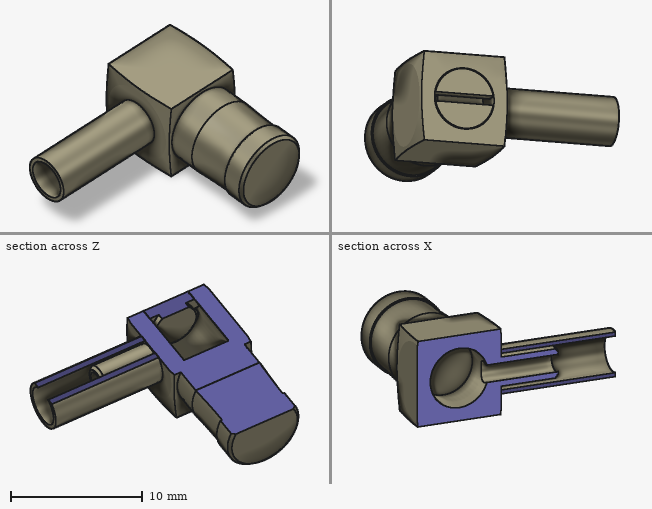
import cadquery as cq
import math


block_size = 7.0
face_radius = 3.18
cone_angle = 8.7

plug_radius = 3.17
neck_length = 2.23
plug_end = 11.2
plug_chamfer = 0.25
waist_start = 5.82
waist_end = 9.37
waist_mid_depth = 0.09
waist_end_depth = 0.124

cable_length = 9.5
ferrule_radius = 1.9
ferrule_bore_radius = 1.55
sleeve_radius = 1.3
sleeve_bore_radius = 0.84
sleeve_chamfer = 0.25
sleeve_length = cable_length / 2

cavity_radius = 2.4
end_wall = 0.99
cap_thickness = 0.99
cap_rim_chamfer = 0.05
boss_radius = 1.83
boss_length = 0.5
slot_width = 0.73

half_block = block_size / 2
neck_end = half_block + neck_length
cable_end = half_block + cable_length


def rod_x(start, end, radius):
    """Cylinder on the plug axis between two X positions."""
    return cq.Workplane("YZ").workplane(offset=start).circle(radius).extrude(end - start)


def rod_y(start, end, radius):
    """Cylinder on the cable axis, from one distance to another towards -Y."""
    return cq.Workplane("XZ").workplane(offset=start).circle(radius).extrude(end - start)


def make_turned_block():
    """Cube whose -Y and +Y faces are turned to a flat circle with a shallow cone around it."""
    cube = cq.Workplane("XY").box(block_size, block_size, block_size)
    outer_radius = block_size
    cone_drop = (outer_radius - face_radius) * math.tan(math.radians(cone_angle))
    envelope = (
        cq.Workplane("XY")
        .moveTo(0, -half_block)
        .lineTo(face_radius, -half_block)
        .lineTo(outer_radius, cone_drop - half_block)
        .lineTo(outer_radius, half_block - cone_drop)
        .lineTo(face_radius, half_block)
        .lineTo(0, half_block)
        .close()
        .revolve(360, (0, 0, 0), (0, 1, 0))
    )
    return cube.intersect(envelope)


def make_housing():
    """Block with its neck, cable sleeve, cavity and cable bore."""
    neck = rod_x(half_block, neck_end, plug_radius)
    sleeve = rod_y(half_block, half_block + sleeve_length, sleeve_radius)
    sleeve = sleeve.faces("<Y").edges().chamfer(sleeve_chamfer)
    housing = make_turned_block().union(neck).union(sleeve)
    cavity = rod_x(-half_block, half_block - end_wall, cavity_radius)
    cable_bore = rod_y(0, half_block + sleeve_length, sleeve_bore_radius)
    return housing.cut(cavity).cut(cable_bore)


def make_cap():
    """Disc with a chamfered rim and a slot cut down to the boss behind it."""
    disc_end = cap_thickness - half_block
    disc = rod_x(-half_block, disc_end, cavity_radius)
    disc = disc.faces("<X").edges().chamfer(cap_rim_chamfer)
    slot = (
        cq.Workplane("XY")
        .box(cap_thickness, 2 * cavity_radius, slot_width)
        .translate((disc_end - cap_thickness / 2, 0, 0))
    )
    boss = rod_x(disc_end, disc_end + boss_length, boss_radius)
    return disc.cut(slot).union(boss)


def make_ferrule():
    """Plain tube around the cable sleeve."""
    tube = rod_y(half_block, cable_end, ferrule_radius)
    return tube.cut(rod_y(half_block, cable_end, ferrule_bore_radius))


def make_plug():
    """Turned plug with a hollowed waist and a chamfered tip."""
    waist_middle = (waist_start + waist_end) / 2
    waist_mid_radius = plug_radius - waist_mid_depth
    waist_end_radius = plug_radius - waist_end_depth
    return (
        cq.Workplane("XY")
        .moveTo(neck_end, 0)
        .lineTo(neck_end, plug_radius)
        .lineTo(waist_start, plug_radius)
        .threePointArc((waist_middle, waist_mid_radius), (waist_end, waist_end_radius))
        .lineTo(waist_end, plug_radius)
        .lineTo(plug_end - plug_chamfer, plug_radius)
        .lineTo(plug_end, plug_radius - plug_chamfer)
        .lineTo(plug_end, 0)
        .close()
        .revolve(360, (0, 0, 0), (1, 0, 0))
    )


housing = make_housing()
cap = make_cap()
ferrule = make_ferrule()
plug = make_plug()

result = cq.Compound.makeCompound([housing.val(), cap.val(), ferrule.val(), plug.val()])